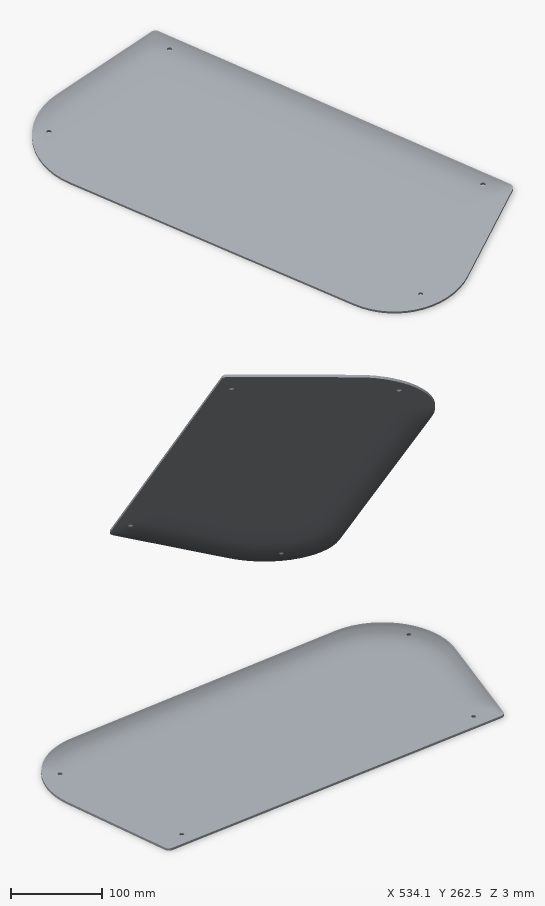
import cadquery as cq

thickness = 3.0
hole_diameter = 5.5
top_corner_radius = 6.5
lobe_radius = 85.5

top_left = (-229.5, 117.5)
top_right = (232.0, 132.0)
bottom_right = (289.0, -112.5)
bottom_left = (-290.5, -135.0)
corner_radii = [
    (top_left, top_corner_radius),
    (top_right, top_corner_radius),
    (bottom_right, lobe_radius),
    (bottom_left, lobe_radius),
]

hole_centers = [(-199.0, 101.0), (202.0, 115.0), (238.0, -64.0), (-239.5, -78.0)]

corners = [corner for corner, _ in corner_radii]
plate = cq.Workplane("XY").polyline(corners).close().extrude(thickness / 2, both=True)

for (x, y), radius in corner_radii:
    corner_edge = cq.selectors.NearestToPointSelector((x, y, 0))
    plate = plate.edges("|Z").edges(corner_edge).fillet(radius)

hole_cutters = (
    cq.Workplane("XY")
    .pushPoints(hole_centers)
    .circle(hole_diameter / 2)
    .extrude(thickness, both=True)
)

result = plate.cut(hole_cutters)